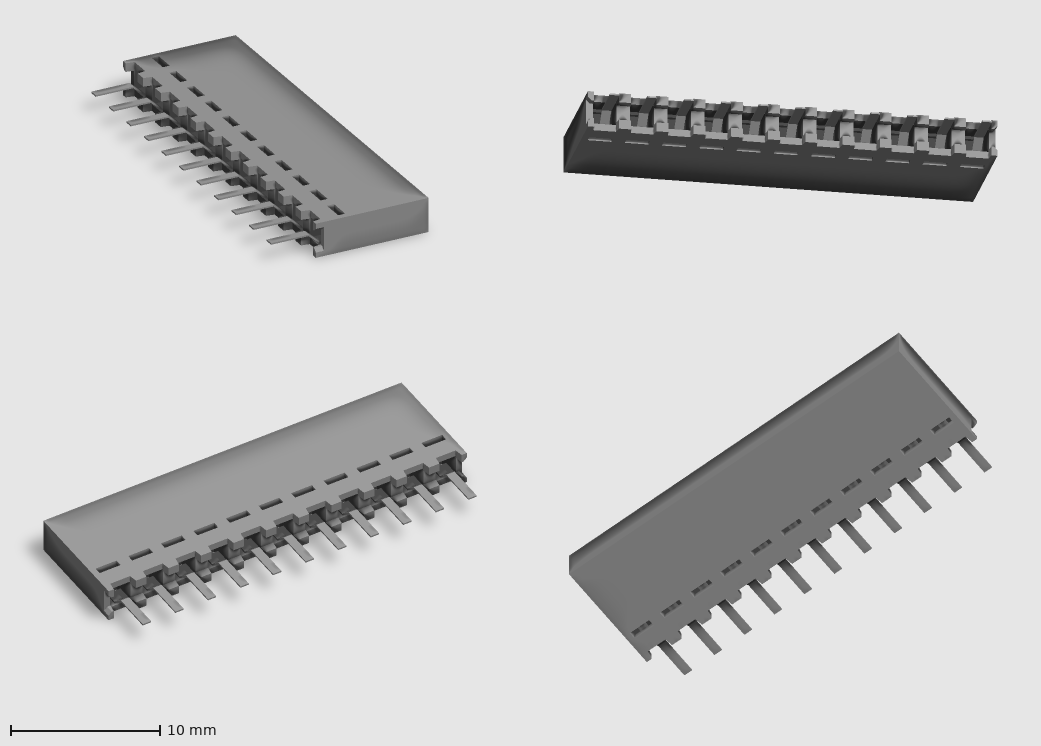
import cadquery as cq
import math

length = 27.95
pin_count = 11
pitch = length / pin_count
height = 2.55
depth = 8.52

comb_depth = 0.61
gap_root_width = 1.55
gap_mouth_width = 1.73
tooth_thickness = 0.65
end_chamfer = 0.25

chamber_width = 1.62
chamber_height = 1.56
taper_depth = 0.17
taper_inset = 0.05

window_width = chamber_width
window_front = 1.93
window_back = 2.45

pin_width = 0.65
pin_thickness = 0.1
pin_reach = 2.88
bend_run = 0.85

middle_z = height / 2
chamber_floor = middle_z - chamber_height / 2
chamber_back = window_back + taper_depth
pin_centres = [(i + 0.5) * pitch for i in range(pin_count)]


def box(x0, x1, y0, y1, z0, z1):
    return cq.Workplane("XY").box(x1 - x0, y1 - y0, z1 - z0, centered=False).translate((x0, y0, z0))


def front_recess():
    """Set-back strip between the upper and lower teeth, widened at both ends by the chamfers."""
    half = height / 2 - tooth_thickness
    return (
        cq.Workplane("XZ")
        .moveTo(0, middle_z - half - end_chamfer)
        .lineTo(end_chamfer, middle_z - half)
        .lineTo(length - end_chamfer, middle_z - half)
        .lineTo(length, middle_z - half - end_chamfer)
        .lineTo(length, middle_z + half + end_chamfer)
        .lineTo(length - end_chamfer, middle_z + half)
        .lineTo(end_chamfer, middle_z + half)
        .lineTo(0, middle_z + half + end_chamfer)
        .close()
        .extrude(-comb_depth)
    )


def tooth_gap(x):
    """Tapered gap between neighbouring teeth, over the full height."""
    return (
        cq.Workplane("XY")
        .polyline([
            (x - gap_mouth_width / 2, 0),
            (x + gap_mouth_width / 2, 0),
            (x + gap_root_width / 2, comb_depth),
            (x - gap_root_width / 2, comb_depth),
        ])
        .close()
        .extrude(height)
    )


def chamber(x):
    """Rectangular chamber behind the tooth gap, narrowing behind the window."""
    straight = (
        cq.Workplane("XZ", origin=(x, comb_depth, middle_z))
        .rect(chamber_width, chamber_height)
        .extrude(comb_depth - window_back)
    )
    taper = (
        cq.Workplane("XZ", origin=(x, window_back, middle_z))
        .rect(chamber_width, chamber_height)
        .workplane(offset=-taper_depth)
        .rect(chamber_width - 2 * taper_inset, chamber_height - 2 * taper_inset)
        .loft(ruled=True)
    )
    return straight.union(taper)


def window(x):
    half = window_width / 2
    return box(x - half, x + half, window_front, window_back, 0, height)


def pin(x):
    """Flat pin that lies on the chamber floor, slopes up to mid-height and runs out of the front."""
    low = chamber_floor
    high = middle_z - pin_thickness / 2
    bend_angle = math.atan2(high - low, bend_run)
    shift = pin_thickness * math.tan(bend_angle / 2)
    return (
        cq.Workplane("YZ", origin=(x - pin_width / 2, 0, 0))
        .polyline([
            (-pin_reach, high),
            (-shift, high),
            (bend_run - shift, low),
            (chamber_back, low),
            (chamber_back, low + pin_thickness),
            (bend_run, low + pin_thickness),
            (0, high + pin_thickness),
            (-pin_reach, high + pin_thickness),
        ])
        .close()
        .extrude(pin_width)
    )


result = box(0, length, 0, depth, 0, height).cut(front_recess())
for centre in pin_centres:
    result = result.cut(tooth_gap(centre)).cut(chamber(centre)).cut(window(centre))
for centre in pin_centres:
    result = result.union(pin(centre))